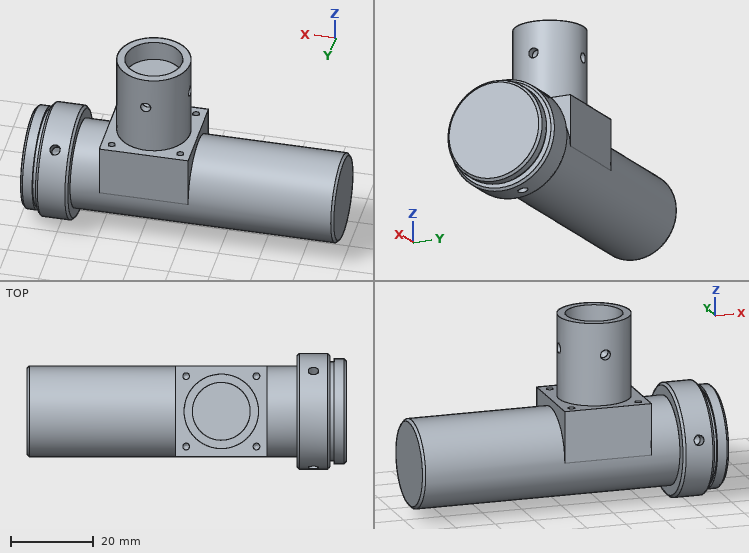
import cadquery as cq

total_length = 77.2
barrel_diameter = 22.0
barrel_chamfer = 0.6

collar_start = 65.15
collar_length = 8.0
collar_diameter = 28.0
collar_chamfer = 0.6
groove_diameter = 24.0
flange_length = 3.0
flange_diameter = 25.4
flange_chamfer = 0.6

block_center_x = 46.9
block_width = barrel_diameter
block_height = 13.0
corner_hole_pitch = 17.0
corner_hole_diameter = 1.6
corner_hole_depth = 3.0

tube_diameter = 18.0
total_height = 47.7
tube_top = total_height - collar_diameter / 2
tube_bore_diameter = 14.0
tube_bore_depth = 5.0

screw_hole_diameter = 2.5
tube_screw_depth = 2.0
collar_screw_depth = 3.0
drill_clearance = 0.8
tube_screw_drop = 8.0
tube_screw_count = 4
collar_screw_count = 3
collar_screw_angle = 14.2


def x_cylinder(start, length, diameter):
    return cq.Workplane("YZ").workplane(offset=start).circle(diameter / 2).extrude(length)


def drill_cutter(entry, depth, diameter):
    """Drill along +Y starting at Y = entry, with a 90 degree point beyond its full-width depth."""
    radius = diameter / 2
    start = entry - drill_clearance
    shoulder = entry + depth
    tip = shoulder + radius
    profile = [(0, start), (radius, start), (radius, shoulder), (0, tip)]
    return cq.Workplane("XY").polyline(profile).close().revolve(360, (0, 0, 0), (0, 1, 0))


flange_start = total_length - flange_length
collar_end = collar_start + collar_length
barrel = x_cylinder(0, collar_end, barrel_diameter).faces("<X").chamfer(barrel_chamfer)
collar = x_cylinder(collar_start, collar_length, collar_diameter).edges().chamfer(collar_chamfer)
groove = x_cylinder(collar_end, flange_start - collar_end, groove_diameter)
flange = x_cylinder(flange_start, flange_length, flange_diameter).faces(">X").chamfer(flange_chamfer)
body = barrel.union(collar).union(groove).union(flange)

block = (
    cq.Workplane("XY")
    .center(block_center_x, 0)
    .rect(block_width, block_width)
    .extrude(block_height)
)
tube = (
    cq.Workplane("XY", origin=(block_center_x, 0, block_height))
    .circle(tube_diameter / 2)
    .extrude(tube_top - block_height)
)
tube_bore = (
    cq.Workplane("XY", origin=(block_center_x, 0, tube_top))
    .circle(tube_bore_diameter / 2)
    .extrude(-tube_bore_depth)
)
result = body.union(block).union(tube).cut(tube_bore)

corner_drill = drill_cutter(0, corner_hole_depth, corner_hole_diameter).rotate((0, 0, 0), (1, 0, 0), -90)
for x_side in (-1, 1):
    for y_side in (-1, 1):
        corner_x = block_center_x + x_side * corner_hole_pitch / 2
        corner_y = y_side * corner_hole_pitch / 2
        result = result.cut(corner_drill.translate((corner_x, corner_y, block_height)))

tube_drill = drill_cutter(-tube_diameter / 2, tube_screw_depth, screw_hole_diameter)
for index in range(tube_screw_count):
    angle = index * 360 / tube_screw_count
    drill = tube_drill.rotate((0, 0, 0), (0, 0, 1), angle)
    result = result.cut(drill.translate((block_center_x, 0, tube_top - tube_screw_drop)))

collar_drill = drill_cutter(-collar_diameter / 2, collar_screw_depth, screw_hole_diameter)
for index in range(collar_screw_count):
    angle = -collar_screw_angle - index * 360 / collar_screw_count
    drill = collar_drill.rotate((0, 0, 0), (1, 0, 0), angle)
    result = result.cut(drill.translate((collar_start + collar_length / 2, 0, 0)))